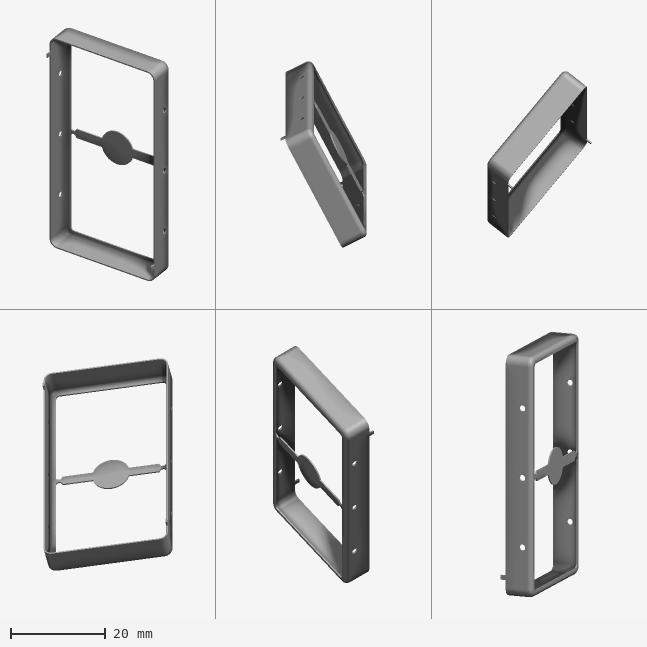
import cadquery as cq

width = 26.7
height = 52.0
total_depth = 7.2
sheet = 0.3
corner_radius = 1.8
bend_radius = 1.0

tab_length = 1.2
tab_height = 1.0
tab_offset = 21.9

flange_width = 1.5
opening_radius = 0.85

disc_diameter = 8.0
bar_height = 2.2
bar_half_length = 10.35
neck_height = 0.75
taper_length = 0.45
neck_fillet = 0.6

hole_diameter = 1.3
hole_pitch = 15.05
hole_from_back = 2.2

wall_depth = total_depth - tab_length
back_y = total_depth / 2
front_y = back_y - wall_depth
opening_width = width - 2 * flange_width
opening_height = height - 2 * flange_width


def rounded_block(size_x, size_z, radius, y_start, y_end):
    """Block from y_start back to y_end with its four long edges rounded."""
    return (
        cq.Workplane("XZ", origin=(0, y_start, 0))
        .rect(size_x, size_z)
        .extrude(y_start - y_end)
        .edges("|Y")
        .fillet(radius)
    )


def back_plate(sketch):
    """Extrude an XZ sketch through the thickness of the back sheet."""
    return sketch.extrude(sheet)


def back_plane():
    return cq.Workplane("XZ", origin=(0, back_y, 0))


def make_shell():
    outer = rounded_block(width, height, corner_radius, front_y, back_y)
    outer = outer.faces(">Y").edges().fillet(bend_radius)
    inner = rounded_block(
        width - 2 * sheet, height - 2 * sheet, corner_radius - sheet, front_y, back_y - sheet
    )
    inner = inner.faces(">Y").edges().fillet(bend_radius - sheet)
    opening = rounded_block(opening_width, opening_height, opening_radius, front_y, back_y)
    return outer.cut(inner).cut(opening)


def make_cross_bar():
    neck_start = bar_half_length + taper_length
    bar_z = bar_height / 2
    neck_z = neck_height / 2
    flange_x = opening_width / 2
    root_z = neck_z + neck_fillet
    buried_x = flange_x + flange_width / 4
    half_bar = back_plate(
        back_plane()
        .moveTo(0, -bar_z)
        .lineTo(bar_half_length, -bar_z)
        .lineTo(neck_start, -neck_z)
        .lineTo(flange_x - neck_fillet, -neck_z)
        .radiusArc((flange_x, -root_z), neck_fillet)
        .lineTo(buried_x, -root_z)
        .lineTo(buried_x, root_z)
        .lineTo(flange_x, root_z)
        .radiusArc((flange_x - neck_fillet, neck_z), neck_fillet)
        .lineTo(neck_start, neck_z)
        .lineTo(bar_half_length, bar_z)
        .lineTo(0, bar_z)
        .close()
    )
    disc = back_plate(back_plane().circle(disc_diameter / 2))
    return disc.union(half_bar).union(half_bar.mirror("YZ"))


def make_tab(side):
    """Tab high on the -X wall (side = -1) or low on the +X wall (side = 1)."""
    length = tab_length + sheet
    return cq.Workplane("XY").box(sheet, length, tab_height).translate(
        (side * (width - sheet) / 2, (length - total_depth) / 2, -side * tab_offset)
    )


def make_side_holes():
    return (
        cq.Workplane("YZ", origin=(0, back_y - hole_from_back, 0))
        .rarray(0.5, hole_pitch, 1, 3)
        .circle(hole_diameter / 2)
        .extrude(width, both=True)
    )


result = make_shell().union(make_cross_bar()).cut(make_side_holes())
for side in (-1, 1):
    result = result.union(make_tab(side))